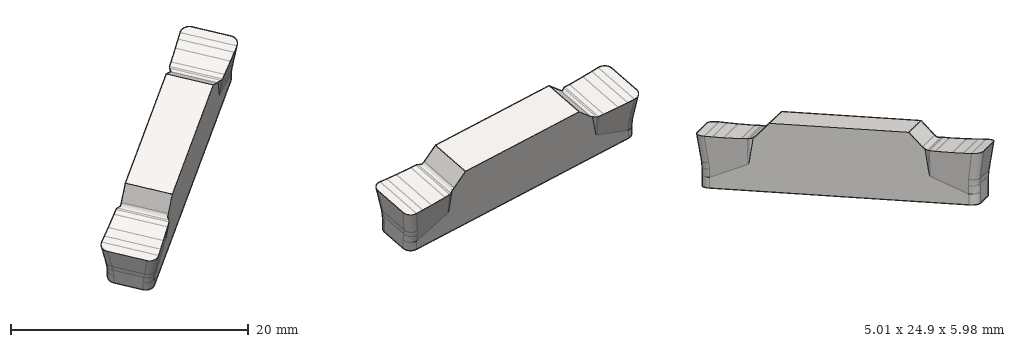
import cadquery as cq
import math

length = 24.92
height = 5.98
body_width = 4.14
base_length = 24.17
corner_radius = 0.8
crown_half_length = 6.05

tip_height = 4.65
rake_low = 4.55
rake_high = 4.59
flank_start_y = 11.26
flank_start_z = 0.95
flank_slope_z = 0.115
flank_slope_y = 0.046
neck_y = 7.85
neck_inner_y = 6.98
neck_slope = 0.7
neck_radius = 0.25

relief_blend_bottom = 1.75
relief_blend_top = 2.27

ramp_foot_y = 7.25
ramp_foot_z = height - (ramp_foot_y - crown_half_length)
neck_arc_y = 7.75
rake_back_y = 7.92
rake_floor_start_y = 8.45
rake_floor_end_y = 9.95
rake_front_y = 10.91
lip_y = 11.61
lip_z = 4.6
lip_sag = 0.01
ramp_foot_sag = 0.05

cutter_half_width = 4.98
pick_margin = 0.25

half_length = length / 2
half_base = base_length / 2
half_body_width = body_width / 2

relief_rise = relief_blend_top - relief_blend_bottom
clearance_rise = tip_height - relief_blend_top
relief_angle = math.atan((half_length - half_base) / (clearance_rise + relief_rise / 2))
relief_radius = relief_rise / math.sin(relief_angle)
relief_blend_y = half_base + relief_radius * (1 - math.cos(relief_angle))
relief_mid_y = half_base + relief_radius * (1 - math.cos(relief_angle / 2))
relief_mid_z = relief_blend_bottom + relief_radius * math.sin(relief_angle / 2)


def flank_x(y, z):
    """Half width of the tapered head at a given place."""
    return half_body_width + flank_slope_z * (z - flank_start_z) + flank_slope_y * (y - flank_start_y)


def head_plan(z):
    """Plan outline of one head at height z, narrowing at the neck."""
    neck_x = flank_x(neck_y, z)
    inner_x = neck_x - neck_slope * (neck_y - neck_inner_y)
    end_x = flank_x(half_length, z)
    right = [(inner_x, neck_inner_y), (neck_x, neck_y), (end_x, half_length)]
    left = [(-x, y) for x, y in reversed(right)]
    return right + left


def make_body():
    """Full-height block with rounded vertical corners, before the top is cut."""
    block = cq.Workplane("XY").box(body_width, base_length, height, centered=(True, True, False))
    return block.edges("|Z").fillet(corner_radius)


def make_head():
    """Tapered head on the +Y end, with its end relief and rounded corners."""
    flanks = (
        cq.Workplane("XY").polyline(head_plan(0)).close()
        .workplane(offset=height).polyline(head_plan(height)).close()
        .loft(ruled=True)
    )
    relief = (
        cq.Workplane("YZ")
        .moveTo(neck_inner_y, flank_start_z)
        .lineTo(half_base, flank_start_z)
        .lineTo(half_base, relief_blend_bottom)
        .threePointArc((relief_mid_y, relief_mid_z), (relief_blend_y, relief_blend_top))
        .lineTo(half_length, tip_height)
        .lineTo(half_length, height)
        .lineTo(neck_inner_y, height)
        .close()
        .extrude(cutter_half_width, both=True)
    )
    neck_box = cq.selectors.BoxSelector(
        (-cutter_half_width, neck_y - pick_margin, 0), (cutter_half_width, neck_y + pick_margin, height)
    )
    flanks = flanks.edges(neck_box).edges("not #Z").fillet(neck_radius)
    head = flanks.intersect(relief)
    corner_box = cq.selectors.BoxSelector(
        (-cutter_half_width, half_base - pick_margin, flank_start_z + pick_margin),
        (cutter_half_width, half_length + pick_margin, height - pick_margin),
    )
    return head.edges(corner_box).edges("not |X").fillet(corner_radius)


def make_top_cut():
    """Material above the crown ramp and rake surface on the +Y end."""
    return (
        cq.Workplane("YZ")
        .moveTo(crown_half_length, height)
        .lineTo(ramp_foot_y, ramp_foot_z)
        .threePointArc(((ramp_foot_y + neck_arc_y) / 2, (ramp_foot_z + rake_high) / 2 - ramp_foot_sag),
                       (neck_arc_y, rake_high))
        .lineTo(rake_back_y, rake_high)
        .lineTo(rake_floor_start_y, rake_low)
        .lineTo(rake_floor_end_y, rake_low)
        .lineTo(rake_front_y, rake_high)
        .lineTo(lip_y, lip_z)
        .threePointArc(((lip_y + half_length) / 2, (lip_z + tip_height) / 2 - lip_sag),
                       (half_length, tip_height))
        .lineTo(half_length, height)
        .close()
        .extrude(cutter_half_width, both=True)
    )


head = make_head()
top_cut = make_top_cut()
result = make_body()
for end_angle in (0, 180):
    result = result.union(head.rotate((0, 0, 0), (0, 0, 1), end_angle))
    result = result.cut(top_cut.rotate((0, 0, 0), (0, 0, 1), end_angle))